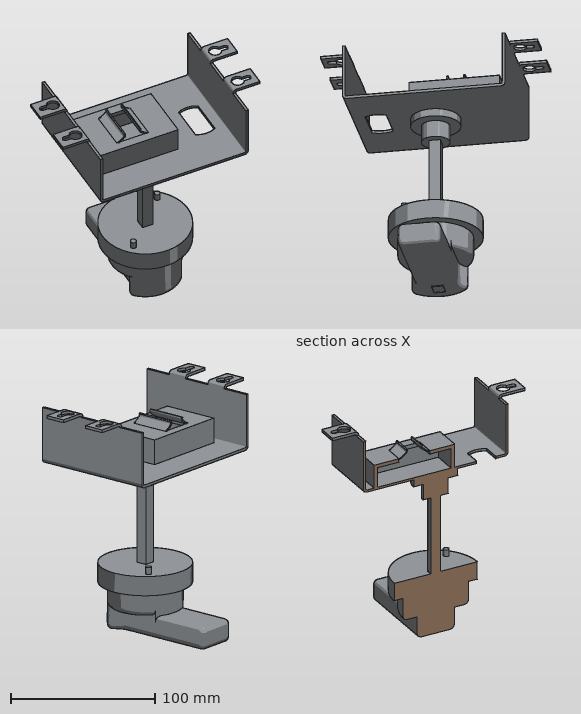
import cadquery as cq
import math


SHEET = 2.0
BEND_INNER = 1.0
BEND_OUTER = BEND_INNER + SHEET
BRACKET_WIDTH = 90.0
BRACKET_DEPTH = 115.0
BRACKET_HEIGHT = 43.5
TAB_SPAN = 153.0
TAB_WIDTH = 15.0
TAB_X = 17.5

KEY_HOLE_RADIUS = 4.5
KEY_HOLE_Y = 63.0
KEY_SLOT_RADIUS = 2.0
KEY_SLOT_Y = 71.0

WINDOW_RADIUS = 15.0
WINDOW_HEIGHT = 15.0
WINDOW_Y = 40.0

BLOCK_WIDTH = 42.0
BLOCK_DEPTH = 64.0
BLOCK_HEIGHT = 18.0
BLOCK_WALL = 3.0
BLOCK_Y = -17.0
BLOCK_TOP = SHEET + BLOCK_HEIGHT
OPENING_WIDTH = 28.5
OPENING_LENGTH = 24.6
CLIP_THICKNESS = 1.1
CLIP_HEIGHT = 6.0
CLIP_REACH = 7.0
CLIP_CURL_RADIUS = 2.5
CLIP_LEG_ANGLE = 45.0
CLIP_TIP_ANGLE = 125.0
CLIP_ROOT = 1.0

COLLAR_RADIUS = 17.5
COLLAR_HEIGHT = 5.5
NECK_RADIUS = 10.0
NECK_HEIGHT = 12.2
SHAFT_SIDE = 8.2

MARK_HEIGHT = 0.6
OVERALL_HEIGHT = 169.2
HANDLE_BOTTOM = BRACKET_HEIGHT - OVERALL_HEIGHT + MARK_HEIGHT
FLANGE_RADIUS = 33.0
FLANGE_HEIGHT = 14.0
HUB_RADIUS = 26.4
HUB_HEIGHT = 34.0
HUB_TOP = HANDLE_BOTTOM + HUB_HEIGHT
FLANGE_TOP = HUB_TOP + FLANGE_HEIGHT
LEVER_LENGTH = 65.0
LEVER_WIDTH = 30.0
LEVER_HEIGHT = 16.6
LEVER_FILLET = 4.0
FLARE_RADIUS = 13.0
FLARE_X = 4.25
RELIEF_EDGE_MIN_Y = 20.0
MARK_LENGTH = 10.0
MARK_WIDTH = 8.2
MARK_X = 10.5
PIN_RADIUS = 2.1
PIN_HEIGHT = 5.0
PIN_OFFSET = 18.6


def box(width, depth, height, x, y, z):
    """Box centred on (x, y) with its underside at z."""
    return cq.Workplane("XY").box(width, depth, height, (True, True, False)).translate((x, y, z))


def cylinder(radius, height, z, x=0.0, y=0.0):
    return cq.Workplane("XY", origin=(x, y, z)).circle(radius).extrude(height)


def extrude_along_x(profile, width, x):
    """Extrude a YZ outline symmetrically about the given x."""
    return profile.extrude(width / 2, both=True).translate((x, 0, 0))


def make_channel():
    """U-shaped bracket floor and walls with rounded lower bends."""
    wall_top = BRACKET_HEIGHT - BEND_OUTER
    outer = box(BRACKET_WIDTH, BRACKET_DEPTH, wall_top, 0, 0, 0)
    outer = outer.edges("|X and <Z").fillet(BEND_OUTER)
    inner = box(BRACKET_WIDTH, BRACKET_DEPTH - 2 * SHEET, wall_top, 0, 0, SHEET)
    inner = inner.edges("|X and <Z").fillet(BEND_INNER)
    window = cylinder(WINDOW_RADIUS, SHEET, 0, y=WINDOW_Y)
    window = window.intersect(box(2 * WINDOW_RADIUS, WINDOW_HEIGHT, SHEET, 0, WINDOW_Y, 0))
    return outer.cut(inner).cut(window)


def make_tab(x):
    """Ear on the +Y wall, bent outwards and pierced by a keyhole."""
    wall_inner = BRACKET_DEPTH / 2 - SHEET
    wall_outer = BRACKET_DEPTH / 2
    bend_y = wall_inner + BEND_OUTER
    bend_z = BRACKET_HEIGHT - BEND_OUTER
    tip_y = TAB_SPAN / 2
    underside = BRACKET_HEIGHT - SHEET
    diagonal = math.sqrt(0.5)
    profile = (
        cq.Workplane("YZ")
        .moveTo(wall_inner, bend_z)
        .threePointArc(
            (bend_y - BEND_OUTER * diagonal, bend_z + BEND_OUTER * diagonal),
            (bend_y, BRACKET_HEIGHT),
        )
        .lineTo(tip_y, BRACKET_HEIGHT)
        .lineTo(tip_y, underside)
        .lineTo(bend_y, underside)
        .threePointArc(
            (bend_y - BEND_INNER * diagonal, bend_z + BEND_INNER * diagonal),
            (wall_outer, bend_z),
        )
        .close()
    )
    tab = extrude_along_x(profile, TAB_WIDTH, x)
    slot_length = KEY_SLOT_Y - KEY_HOLE_Y
    hole = cylinder(KEY_HOLE_RADIUS, BEND_OUTER, bend_z, x, KEY_HOLE_Y)
    slot_end = cylinder(KEY_SLOT_RADIUS, BEND_OUTER, bend_z, x, KEY_SLOT_Y)
    slot = box(2 * KEY_SLOT_RADIUS, slot_length, BEND_OUTER, x, KEY_HOLE_Y + slot_length / 2, bend_z)
    return tab.cut(hole).cut(slot_end).cut(slot)


def make_bracket():
    bracket = make_channel()
    for x in (-TAB_X, TAB_X):
        tab = make_tab(x)
        bracket = bracket.union(tab).union(tab.mirror("XZ"))
    return bracket


def make_clip():
    """Spring clip on the +Y edge of the opening, leaning inwards and curled back at its tip.

    Its section is a band of constant thickness: a root buried in the block's top, a leg that
    steepens upwards on one arc, and a tighter curl. Neighbouring stretches share a tangent.
    Angles are slopes of the band; beyond a right angle it leans back outwards.
    """
    edge_y = BLOCK_Y + OPENING_LENGTH / 2
    curl_y = edge_y - CLIP_REACH + CLIP_CURL_RADIUS
    steep = math.radians(CLIP_LEG_ANGLE)
    tip = math.radians(CLIP_TIP_ANGLE)
    curl_z = BLOCK_TOP + CLIP_HEIGHT + CLIP_CURL_RADIUS * math.cos(tip)

    def on_arc(center_y, center_z, radius, slope):
        return (center_y - radius * math.sin(slope), center_z - radius * math.cos(slope))

    curl_inner = CLIP_CURL_RADIUS - CLIP_THICKNESS
    joint_y, joint_z = on_arc(curl_y, curl_z, curl_inner, steep)
    chord_y = edge_y - joint_y
    chord_z = BLOCK_TOP - joint_z
    chord_across = chord_y * math.sin(steep) + chord_z * math.cos(steep)
    leg_inner = (chord_y**2 + chord_z**2) / (2 * chord_across)
    leg_outer = leg_inner + CLIP_THICKNESS
    leg_y = joint_y + leg_inner * math.sin(steep)
    leg_z = joint_z + leg_inner * math.cos(steep)
    shallow = 2 * math.atan2(-chord_z, chord_y) - steep

    mid_leg = (shallow + steep) / 2
    mid_curl = (steep + tip) / 2
    root_y = CLIP_ROOT * math.cos(shallow)
    root_z = -CLIP_ROOT * math.sin(shallow)
    foot_y, foot_z = on_arc(leg_y, leg_z, leg_outer, shallow)
    profile = (
        cq.Workplane("YZ")
        .moveTo(foot_y + root_y, foot_z + root_z)
        .lineTo(foot_y, foot_z)
        .threePointArc(on_arc(leg_y, leg_z, leg_outer, mid_leg), on_arc(leg_y, leg_z, leg_outer, steep))
        .threePointArc(
            on_arc(curl_y, curl_z, CLIP_CURL_RADIUS, mid_curl),
            on_arc(curl_y, curl_z, CLIP_CURL_RADIUS, tip),
        )
        .lineTo(*on_arc(curl_y, curl_z, curl_inner, tip))
        .threePointArc(on_arc(curl_y, curl_z, curl_inner, mid_curl), (joint_y, joint_z))
        .threePointArc(on_arc(leg_y, leg_z, leg_inner, mid_leg), (edge_y, BLOCK_TOP))
        .lineTo(edge_y + root_y, BLOCK_TOP + root_z)
        .close()
    )
    return extrude_along_x(profile, OPENING_WIDTH, 0)


def make_switch_block():
    """Hollow housing standing on the bracket floor, with an opening between two clips."""
    block = box(BLOCK_WIDTH, BLOCK_DEPTH, BLOCK_HEIGHT, 0, BLOCK_Y, SHEET)
    cavity_width = BLOCK_WIDTH - 2 * BLOCK_WALL
    cavity_depth = BLOCK_DEPTH - 2 * BLOCK_WALL
    cavity = box(cavity_width, cavity_depth, BLOCK_HEIGHT - BLOCK_WALL, 0, BLOCK_Y, SHEET)
    opening = box(OPENING_WIDTH, OPENING_LENGTH, BLOCK_HEIGHT, 0, BLOCK_Y, SHEET)
    clip = make_clip()
    opposite_clip = clip.mirror("XZ", (0, BLOCK_Y, 0))
    return block.cut(cavity).cut(opening).union(clip).union(opposite_clip)


def make_shaft():
    collar = cylinder(COLLAR_RADIUS, COLLAR_HEIGHT, -COLLAR_HEIGHT)
    neck_bottom = -COLLAR_HEIGHT - NECK_HEIGHT
    neck = cylinder(NECK_RADIUS, NECK_HEIGHT, neck_bottom)
    shaft = box(SHAFT_SIDE, SHAFT_SIDE, neck_bottom - FLANGE_TOP, 0, 0, FLANGE_TOP)
    return collar.union(neck).union(shaft)


def make_side_relief():
    """Space beside the lever on the -Y side, up to the lever's top.

    Its wall runs straight along the lever, then flares outwards on an arc.
    """
    side_y = -LEVER_WIDTH / 2
    limit = LEVER_LENGTH
    flare_middle = math.radians(45)
    arc_y = side_y - FLARE_RADIUS
    return (
        cq.Workplane("XY", origin=(0, 0, HANDLE_BOTTOM))
        .moveTo(-limit, side_y)
        .lineTo(FLARE_X, side_y)
        .threePointArc(
            (FLARE_X + FLARE_RADIUS * math.sin(flare_middle), arc_y + FLARE_RADIUS * math.cos(flare_middle)),
            (FLARE_X + FLARE_RADIUS, arc_y),
        )
        .lineTo(FLARE_X + FLARE_RADIUS, -limit)
        .lineTo(-limit, -limit)
        .close()
        .extrude(LEVER_HEIGHT)
    )


def make_hub():
    """Cylindrical hub relieved on both sides of the lever."""
    hub = cylinder(HUB_RADIUS, HUB_HEIGHT, HANDLE_BOTTOM)
    relief = make_side_relief()
    return hub.cut(relief).cut(relief.mirror("XZ"))


def make_lever():
    lever = box(LEVER_LENGTH, LEVER_WIDTH, LEVER_HEIGHT, -LEVER_LENGTH / 2, 0, HANDLE_BOTTOM)
    free_edges = "(|Z and <X) or (>Z and (not >X))"
    return lever.edges(free_edges).fillet(LEVER_FILLET)


def round_grip(grip):
    """Round the bottom rim and, on both sides, the outer edges of the side reliefs.

    The relief edges are the only ones whose centres lie this far out in Y.
    """
    rounded = grip.faces("<Z").edges()
    for side in (-1, 1):
        near_corner = (-HUB_RADIUS, side * RELIEF_EDGE_MIN_Y, HANDLE_BOTTOM)
        far_corner = (HUB_RADIUS, side * HUB_RADIUS, HUB_TOP)
        rounded = rounded.add(grip.edges(cq.selectors.BoxSelector(near_corner, far_corner)))
    return rounded.fillet(LEVER_FILLET)


def make_handle():
    """Flange, hub and lever, with two locating pins above and a position mark below."""
    grip = round_grip(make_hub().union(make_lever()))
    handle = grip.union(cylinder(FLANGE_RADIUS, FLANGE_HEIGHT, HUB_TOP))
    for side in (-1, 1):
        pin = cylinder(PIN_RADIUS, PIN_HEIGHT, FLANGE_TOP, side * PIN_OFFSET, -side * PIN_OFFSET)
        handle = handle.union(pin)
    mark = box(MARK_LENGTH, MARK_WIDTH, MARK_HEIGHT, MARK_X, 0, HANDLE_BOTTOM - MARK_HEIGHT)
    return handle.union(mark)


result = (
    make_bracket()
    .union(make_switch_block())
    .union(make_shaft())
    .union(make_handle())
)